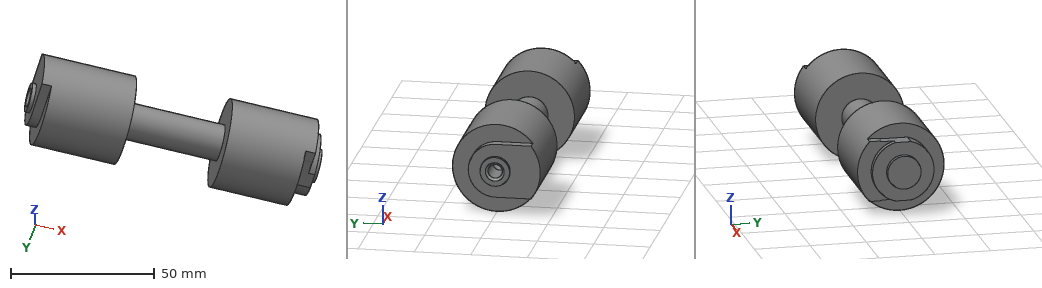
import cadquery as cq
import math

length = 104.8
left_key_start = 1.4
left_roller_start = 4.8
left_roller_end = 34.8
right_roller_start = 69.5
right_roller_end = 97.4
right_key_end = 100.8
disc_end = 103.0

roller_radius = 15.88
rod_radius = 6.5
left_journal_radius = 5.2
right_journal_radius = 6.0

left_key_half_height = 9.6
disc_radius = 11.0
disc_half_height = 10.64
right_key_half_height = 10.9
ramp_start_y = -6.5
ramp_end_y = -8.0

hole_radius = 2.5
hole_mouth_radius = 3.4
hole_depth = 10.5
drill_point_angle = 118.0


def cylinder(start, end, radius):
    """Cylinder on the X axis between two stations."""
    return cq.Workplane("YZ", origin=(start, 0, 0)).circle(radius).extrude(end - start)


def box(start, end, y_min, y_max, half_height):
    """Block between two stations, symmetric about Z = 0."""
    return cq.Workplane("XY").box(
        end - start, y_max - y_min, 2 * half_height, centered=False
    ).translate((start, y_min, -half_height))


def make_left_key():
    """Round-ended pad running out to the roller surface at -Y."""
    start, end = left_key_start, left_roller_start
    pad = box(start, end, -roller_radius, 0, left_key_half_height)
    pad = pad.intersect(cylinder(start, end, roller_radius))
    return pad.union(cylinder(start, end, left_key_half_height))


def make_flatted_disc():
    """Disc with two parallel flats, at the top and the bottom."""
    start, end = right_roller_end, disc_end
    flats = box(start, end, -disc_radius, disc_radius, disc_half_height)
    return cylinder(start, end, disc_radius).intersect(flats)


def make_right_key():
    """Pad level with the disc flats that ramps up to a taller block at -Y."""
    start, end = right_roller_end, right_key_end
    ramp_width = ramp_start_y - ramp_end_y
    ramp_rise = right_key_half_height - disc_half_height
    ramp_radius = (ramp_width**2 + ramp_rise**2) / (2 * ramp_rise)
    half_angle = math.atan2(ramp_rise, ramp_width)
    ramp_mid_y = ramp_start_y - ramp_radius * math.sin(half_angle)
    ramp_mid_z = disc_half_height + ramp_radius * (1 - math.cos(half_angle))
    pad = (
        cq.Workplane("YZ", origin=(start, 0, 0))
        .moveTo(0, -disc_half_height)
        .lineTo(0, disc_half_height)
        .lineTo(ramp_start_y, disc_half_height)
        .threePointArc((ramp_mid_y, ramp_mid_z), (ramp_end_y, right_key_half_height))
        .lineTo(-roller_radius, right_key_half_height)
        .lineTo(-roller_radius, -right_key_half_height)
        .lineTo(ramp_end_y, -right_key_half_height)
        .threePointArc((ramp_mid_y, -ramp_mid_z), (ramp_start_y, -disc_half_height))
        .close()
        .extrude(end - start)
    )
    return pad.intersect(cylinder(start, end, roller_radius))


def make_centre_hole():
    """Countersunk blind hole with a conical drill point."""
    countersink_depth = hole_mouth_radius - hole_radius
    point_depth = hole_radius / math.tan(math.radians(drill_point_angle / 2))
    return (
        cq.Workplane("XY")
        .moveTo(0, 0)
        .lineTo(0, hole_mouth_radius)
        .lineTo(countersink_depth, hole_radius)
        .lineTo(hole_depth, hole_radius)
        .lineTo(hole_depth + point_depth, 0)
        .close()
        .revolve(360, (0, 0, 0), (1, 0, 0))
    )


shaft = cylinder(0, left_roller_start, left_journal_radius)
shaft = shaft.union(cylinder(left_roller_start, right_roller_end, rod_radius))
shaft = shaft.union(cylinder(right_roller_end, length, right_journal_radius))

left_roller = cylinder(left_roller_start, left_roller_end, roller_radius)
right_roller = cylinder(right_roller_start, right_roller_end, roller_radius)

part = shaft.union(left_roller).union(right_roller)
part = part.union(make_left_key())
part = part.union(make_flatted_disc())
part = part.union(make_right_key())
result = part.cut(make_centre_hole())